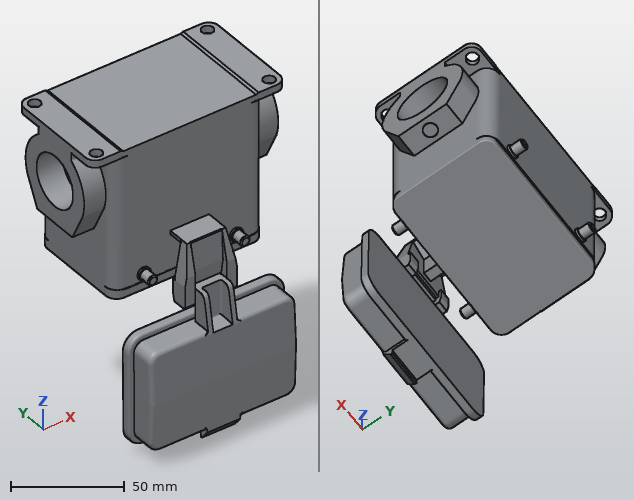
import cadquery as cq
import math


flange_length = 105.5
flange_thickness = 4.0
flange_corner = 5.3
hole_diameter = 6.0
hole_x = 47.0
hole_y = 23.1
recess_depth = 0.6
recess_half_floor = 36.1
recess_half_mouth = 37.5

body_length = 82.0
body_width = 56.5
body_corner = 7.1
body_bottom = -76.0
rim_bottom = -81.0
rim_width = 55.5
rim_corner = 5.9
rim_edge = 0.5

gland_z = -26.3
gland_radius = 22.0
gland_neck_half = 12.2
gland_neck_fillet = 1.5
gland_flank_z = -34.1
gland_bottom_z = -49.1
gland_bottom_half = 13.2
gland_bore = 27.3
gland_bore_depth = 14.0
gland_boss = 6.8
gland_boss_height = 0.5

pin_x = 25.1
pin_z = -71.5
pin_diameter = 5.3
pin_reach = 35.6
pin_chamfer = 0.6
collar_diameter = 6.7
collar_reach = 29.5

bracket_top = -54.5
bracket_half = 10.5
bracket_overlap = 1.5
bracket_front = -40.8
plate_thickness = 1.9
web_half = 2.5
web_back = -36.5
web_bottom = -75.2
web_slope = 4.6
panel_edge_chamfer = 0.5
panel_step = (-41.0, -62.6)
panel_crest = (-41.5, -70.4)
panel_foot = (-39.8, -80.6)
leg_inner = 8.5
leg_outer = 14.1
leg_flare_z = -74.7
leg_front = -44.3
leg_front_bend_z = -70.4
leg_heel_back = -35.2
leg_bottom = -86.8
leg_toe_chamfer = 1.0
leg_heel_chamfer_y = 1.0
leg_heel_chamfer_z = 3.9

cover_tilt = -0.55
cover_back = -37.0
cover_z = -122.5
cover_rim_length = 85.2
cover_rim_height = 58.9
cover_rim_corner = 8.4
cover_rim_thickness = 4.3
cover_rim_edge = 1.2
cover_length = 79.4
cover_height = 52.9
cover_corner = 5.3
cover_edge = 2.2
cover_peak = -54.9
cover_side = -53.6
cover_top = cover_z + cover_height / 2
cover_bottom = cover_z - cover_height / 2

arm_half = 7.9
arm_root_half = 9.5
arm_top = -78.3
arm_hinge_back = -38.0
arm_hinge_bottom = -83.7
arm_back = -43.5
arm_nose = -49.9
arm_nose_radius = 2.8
arm_front_upper = (-51.0, -82.1)
arm_front_lower = (-53.0, -94.5)
arm_pocket_half = 5.3
arm_pocket_back = -45.0
arm_pocket_floor_back = -97.0
arm_pocket_floor_front = -97.6
arm_pocket_fillet = 1.0

tab_half = 9.0
tab_root_half = 9.9
tab_tip = -155.0
tab_lip_back = -48.7
tab_lip_front = -49.6
tab_front_bottom = -150.0


def prism_yz(points, x_start, x_end):
    """Outline in the YZ plane extruded along X."""
    return cq.Workplane("YZ").workplane(offset=x_start).polyline(points).close().extrude(x_end - x_start)


def rounded_block(length, width, corner, z_top, z_bottom):
    """Upright block with rounded vertical corners."""
    return (
        cq.Workplane("XY").workplane(offset=z_bottom)
        .rect(length, width).extrude(z_top - z_bottom)
        .edges("|Z").fillet(corner)
    )


def make_flange():
    """Mounting plate with a screw hole in each corner."""
    flange = rounded_block(flange_length, body_width, flange_corner, 0, -flange_thickness)
    holes = (
        cq.Workplane("XY").rect(2 * hole_x, 2 * hole_y, forConstruction=True).vertices()
        .circle(hole_diameter / 2).extrude(-flange_thickness)
    )
    return flange.cut(holes)


def make_top_recess():
    """Shallow trough across the mounting face, with sloped ends."""
    return (
        cq.Workplane("XZ")
        .polyline([
            (-recess_half_mouth, 0), (-recess_half_floor, -recess_depth),
            (recess_half_floor, -recess_depth), (recess_half_mouth, 0),
        ])
        .close().extrude(body_width / 2, both=True)
    )


def make_body():
    """Housing block with a slightly narrower rim at its lower end."""
    body = rounded_block(body_length, body_width, body_corner, 0, body_bottom)
    rim = rounded_block(body_length, rim_width, rim_corner, body_bottom, rim_bottom)
    return body.union(rim.faces("<Z").edges().fillet(rim_edge))


def make_gland():
    """Gland on the -X end: round ring with a neck to the flange and a tapered foot."""
    x_end = -flange_length / 2
    length = (flange_length - body_length) / 2 + body_corner
    neck_z = gland_z + math.sqrt(gland_radius**2 - gland_neck_half**2)
    flank_half = math.sqrt(gland_radius**2 - (gland_flank_z - gland_z) ** 2)
    gland = (
        cq.Workplane("YZ").workplane(offset=x_end)
        .moveTo(-gland_neck_half, -recess_depth)
        .lineTo(-gland_neck_half, neck_z)
        .threePointArc((-gland_radius, gland_z), (-flank_half, gland_flank_z))
        .lineTo(-gland_bottom_half, gland_bottom_z)
        .lineTo(gland_bottom_half, gland_bottom_z)
        .lineTo(flank_half, gland_flank_z)
        .threePointArc((gland_radius, gland_z), (gland_neck_half, neck_z))
        .lineTo(gland_neck_half, -recess_depth)
        .close().extrude(length)
    )
    neck_edges = cq.selectors.BoxSelector(
        (x_end - 1.5, -gland_neck_half - 1.5, neck_z - 1.5), (0, gland_neck_half + 1.5, neck_z + 1.5)
    )
    gland = gland.edges("|X").edges(neck_edges).fillet(gland_neck_fillet)
    boss = (
        cq.Workplane("XY").workplane(offset=gland_bottom_z)
        .center((x_end - body_length / 2) / 2, 0)
        .circle(gland_boss / 2).extrude(-gland_boss_height)
    )
    return gland.union(boss)


def make_gland_bore():
    """Blind cable bore of the -X gland."""
    return (
        cq.Workplane("YZ").workplane(offset=-flange_length / 2).center(0, gland_z)
        .circle(gland_bore / 2).extrude(gland_bore_depth)
    )


def make_pins(x):
    """Pair of opposite locking pins, made as one bar through the housing."""
    line = cq.Workplane("XZ").center(x, pin_z)
    pins = line.circle(pin_diameter / 2).extrude(pin_reach, both=True)
    pins = pins.faces("<Y or >Y").edges().chamfer(pin_chamfer)
    return pins.union(line.circle(collar_diameter / 2).extrude(collar_reach, both=True))


def make_bracket_leg():
    """Leg on the +X side, flaring outwards below the top plate."""
    side = prism_yz(
        [
            (web_back, bracket_top), (bracket_front, bracket_top), (leg_front, leg_front_bend_z),
            (leg_front, leg_bottom + leg_toe_chamfer), (leg_front + leg_toe_chamfer, leg_bottom),
            (leg_heel_back - leg_heel_chamfer_y, leg_bottom),
            (leg_heel_back, leg_bottom + leg_heel_chamfer_z),
            (leg_heel_back, web_bottom), (web_back, web_bottom),
        ],
        leg_inner, leg_outer,
    )
    flare = (
        cq.Workplane("XZ")
        .polyline([
            (leg_inner, bracket_top), (bracket_half, bracket_top), (leg_outer, leg_flare_z),
            (leg_outer, leg_bottom), (leg_inner, leg_bottom),
        ])
        .close().extrude(-leg_front)
    )
    return side.intersect(flare)


def make_bracket():
    """Top plate on a narrow web, carrying a stepped front panel between two legs."""
    start = -body_width / 2 + bracket_overlap
    slope_top = bracket_top - plate_thickness
    slope_bottom = slope_top - web_slope
    arm = (
        cq.Workplane("XZ").workplane(offset=-start)
        .polyline([
            (-bracket_half, bracket_top), (bracket_half, bracket_top), (bracket_half, slope_top),
            (web_half, slope_bottom), (web_half, web_bottom), (-web_half, web_bottom),
            (-web_half, slope_bottom), (-bracket_half, slope_top),
        ])
        .close().extrude(start - web_back)
    )
    panel = prism_yz(
        [
            (web_back, bracket_top), (bracket_front + panel_edge_chamfer, bracket_top),
            (bracket_front, bracket_top - panel_edge_chamfer),
            panel_step, panel_crest, panel_foot, (web_back, panel_foot[1]),
        ],
        -leg_inner, leg_inner,
    )
    leg = make_bracket_leg()
    return arm.union(panel).union(leg).union(leg.mirror("YZ"))


def cover_front(z):
    """Y of the peaked cover front at height z, before the cover is tilted."""
    return cover_peak + (cover_side - cover_peak) * abs(z - cover_z) / (cover_height / 2)


def make_cover_rim():
    """Rounded plate forming the back of the cover."""
    return (
        cq.Workplane("XZ").workplane(offset=-cover_back).center(0, cover_z)
        .rect(cover_rim_length, cover_rim_height).extrude(cover_rim_thickness)
        .edges("|Y").fillet(cover_rim_corner)
        .faces("<Y").edges().fillet(cover_rim_edge)
    )


def make_cover_box():
    """Rounded box whose front is two shallow planes meeting in a horizontal ridge."""
    outline = [
        (cover_back, cover_top), (cover_side, cover_top), (cover_peak, cover_z),
        (cover_side, cover_bottom), (cover_back, cover_bottom),
    ]
    shell = prism_yz(outline, -cover_length / 2, cover_length / 2).edges("|Y").fillet(cover_corner)
    front_band = cq.selectors.BoxSelector(
        (-cover_length, cover_peak - 1.5, cover_top + 1.5), (cover_length, cover_side + 0.2, cover_bottom - 1.5)
    )
    ridge = cq.selectors.BoxSelector((-1.5, cover_peak - 1.5, cover_z - 1.5), (1.5, cover_side, cover_z + 1.5))
    return shell.edges(front_band - ridge).fillet(cover_edge)


def flared_tongue(half, root_half, z_end, z_root, z_inside):
    """Tongue on the cover edge, deeper than the cover, with concave corners where it meets the cover."""
    flare = root_half - half
    direction = math.copysign(1, z_end - z_root)
    z_flare = z_root + direction * flare
    arc_offset = flare * math.sqrt(0.5)
    arc_x = root_half - arc_offset
    arc_z = z_flare - direction * arc_offset
    return (
        cq.Workplane("XZ")
        .moveTo(-half, z_end).lineTo(-half, z_flare)
        .threePointArc((-arc_x, arc_z), (-root_half, z_root))
        .lineTo(-root_half, z_inside).lineTo(root_half, z_inside).lineTo(root_half, z_root)
        .threePointArc((arc_x, arc_z), (half, z_flare))
        .lineTo(half, z_end).close().extrude(-2 * cover_peak)
    )


def make_cover_arm():
    """Hinge arm: two cheeks joined by a thin back wall, flush with the cover front at its root."""
    root_z = cover_top - cover_edge
    side = prism_yz(
        [
            (arm_hinge_back, arm_top), (arm_nose, arm_top), arm_front_upper, arm_front_lower,
            (cover_front(root_z), root_z), (arm_back, root_z),
            (arm_back, arm_hinge_bottom), (arm_hinge_back, arm_hinge_bottom),
        ],
        -arm_root_half, arm_root_half,
    )
    nose = cq.selectors.NearestToPointSelector((0, arm_nose, arm_top))
    side = side.edges("|X").edges(nose).fillet(arm_nose_radius)
    flare_z = cover_top - cover_edge / 2
    return side.intersect(flared_tongue(arm_half, arm_root_half, arm_top, flare_z, root_z))


def make_arm_pocket():
    """Pocket between the arm cheeks, open at the top and the front, with a sloping floor."""
    pocket = prism_yz(
        [
            (arm_pocket_back, 0), (arm_pocket_back, arm_pocket_floor_back),
            (cover_peak, arm_pocket_floor_front), (cover_peak, 0),
        ],
        -arm_pocket_half, arm_pocket_half,
    )
    return pocket.faces(">Y").edges().fillet(arm_pocket_fillet)


def make_tab():
    """Tongue continuing the cover front downwards, ending in a pointed closing lip."""
    root_z = cover_bottom + cover_edge
    back = cover_back - cover_rim_thickness / 2
    rim_level = cover_z - cover_rim_height / 2
    side = prism_yz(
        [
            (back, root_z), (cover_front(root_z), root_z),
            (cover_front(tab_front_bottom), tab_front_bottom), (tab_lip_front, tab_tip),
            (tab_lip_back, tab_tip), (tab_lip_back, rim_level), (back, rim_level),
        ],
        -tab_root_half, tab_root_half,
    )
    flare_z = cover_bottom + cover_edge / 2
    return side.intersect(flared_tongue(tab_half, tab_root_half, tab_tip, flare_z, root_z))


def make_cover():
    """Complete cover, leaning a little off vertical about a line level with its ridge."""
    cover = make_cover_rim().union(make_cover_box()).union(make_tab())
    cover = cover.union(make_cover_arm()).cut(make_arm_pocket())
    return cover.rotate((0, tab_lip_front, cover_z), (1, tab_lip_front, cover_z), cover_tilt)


housing = make_flange().union(make_body())
gland = make_gland()
bore = make_gland_bore()
for x in (-pin_x, pin_x):
    housing = housing.union(make_pins(x))
housing = housing.union(gland).union(gland.mirror("YZ"))
housing = housing.cut(make_top_recess()).cut(bore).cut(bore.mirror("YZ"))

result = housing.union(make_bracket()).union(make_cover())